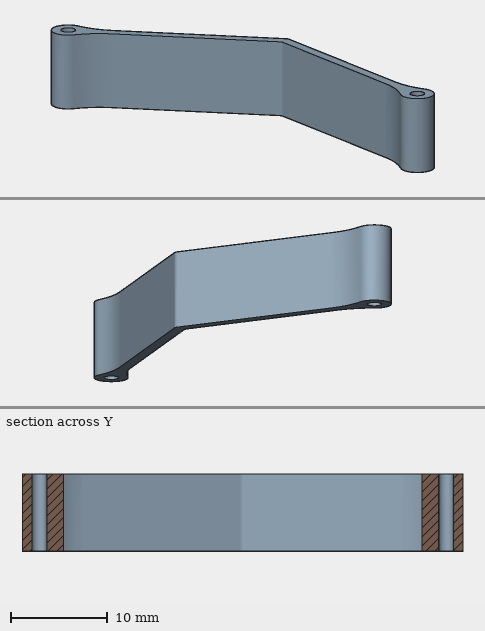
import cadquery as cq
import math

length = 45.5
depth = 10.85
height = 8.0
eye_diameter = 3.5
hole_diameter = 1.5
wall = 1.2
arm_angle = math.radians(22.0)
blend_radius = 7.75
bend_radius = 0.65

eye_radius = eye_diameter / 2
eye_x = length / 2 - eye_radius
eye_y = eye_radius
bend_half = bend_radius * math.sin(arm_angle)
bend_drop = bend_radius * (1 - math.cos(arm_angle))
wall_in_y = wall / math.cos(arm_angle)
inner_crest_y = depth - wall_in_y


def from_eye(along, across):
    """Point on the left arm: distance along it from the eye centre, and to its outer side."""
    x = -eye_x + along * math.cos(arm_angle) - across * math.sin(arm_angle)
    y = eye_y + along * math.sin(arm_angle) + across * math.cos(arm_angle)
    return x, y


def mirrored(point):
    return -point[0], point[1]


blend_across = blend_radius + wall / 2
blend_reach = eye_radius + blend_radius
blend_along = math.sqrt(blend_reach**2 - blend_across**2)
blend_angle = math.atan2(blend_across, blend_along)


def blend_points(side):
    """Eye tangent, arc middle and arm tangent; side is +1 outside, -1 inside the bend."""
    on_eye = from_eye(eye_radius * math.cos(blend_angle), side * eye_radius * math.sin(blend_angle))
    middle_angle = (blend_angle + math.pi / 2) / 2
    middle = from_eye(
        blend_along - blend_radius * math.cos(middle_angle),
        side * (blend_across - blend_radius * math.sin(middle_angle)),
    )
    on_arm = from_eye(blend_along, side * wall / 2)
    return on_eye, middle, on_arm


outer_eye, outer_middle, outer_arm = blend_points(1)
inner_eye, inner_middle, inner_arm = blend_points(-1)
eye_tip = from_eye(-eye_radius, 0)

body = (
    cq.Workplane("XY")
    .moveTo(*inner_eye)
    .threePointArc(eye_tip, outer_eye)
    .threePointArc(outer_middle, outer_arm)
    .lineTo(-bend_half, depth - bend_drop)
    .threePointArc((0, depth), (bend_half, depth - bend_drop))
    .lineTo(*mirrored(outer_arm))
    .threePointArc(mirrored(outer_middle), mirrored(outer_eye))
    .threePointArc(mirrored(eye_tip), mirrored(inner_eye))
    .threePointArc(mirrored(inner_middle), mirrored(inner_arm))
    .lineTo(bend_half, inner_crest_y - bend_drop)
    .threePointArc((0, inner_crest_y), (-bend_half, inner_crest_y - bend_drop))
    .lineTo(*inner_arm)
    .threePointArc(inner_middle, inner_eye)
    .close()
    .extrude(height)
)

holes = (
    cq.Workplane("XY")
    .pushPoints([(-eye_x, eye_y), (eye_x, eye_y)])
    .circle(hole_diameter / 2)
    .extrude(height)
)

result = body.cut(holes)